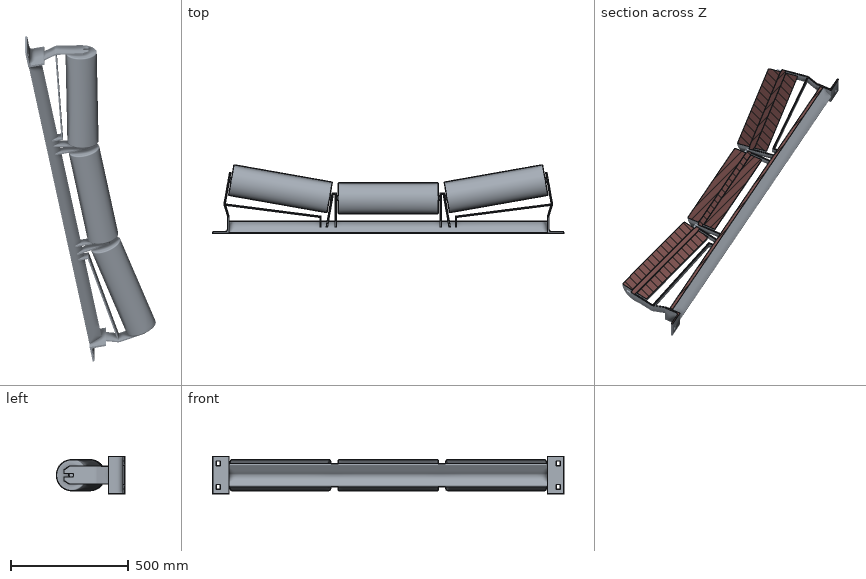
import cadquery as cq
import math


ANGLE_LEG = 70.0
ANGLE_THICKNESS = 8.0
ANGLE_ROOT_RADIUS = 9.0
ANGLE_TOE_RADIUS = 5.0

OVERALL_LENGTH = 1500.0
FOOT_HEIGHT = 160.0
HOLE_SIZE_X = 16.0
HOLE_SIZE_Z = 20.0
HOLE_INSET = 24.0
HOLE_SPACING = 100.0

BEAM_APEX_Y = 52.0

ROLLER_DIAMETER = 134.0
ROLLER_LENGTH = 428.0
ROLLER_EDGE_RADIUS = 5.0
MIDDLE_AXIS_Y = 150.0
SIDE_CENTRE_X = -460.0
SIDE_CENTRE_Y = 190.0
TROUGH_ANGLE = 10.0
SHAFT_DIAMETER = 21.0
SHAFT_FLATS = 16.0

STRIP_THICKNESS = 6.0
STRIP_GAP = 6.8
NARROW_WIDTH = 51.0
INNER_TOP_Y = 172.0
ARM_WIDTH = 76.0
ARM_REACH = 32.0
ARM_KNEE_TOP_Y = 129.0
ARM_KNEE_BOTTOM_Y = 122.0
ARM_CORNER_LENGTH = 24.0
ARM_CORNER_WIDTH = 15.0
BRACE_OUTER_Y = 123.0
BRACE_BEND_X = -290.0
BRACE_BEND_Y = 70.0

FOOT_HEEL_X = -OVERALL_LENGTH / 2 + ANGLE_LEG
BEAM_LENGTH = -2 * FOOT_HEEL_X
STRIP_OFFSET = ROLLER_LENGTH / 2 + STRIP_GAP + STRIP_THICKNESS / 2
SHAFT_LENGTH = 2 * STRIP_OFFSET + STRIP_THICKNESS
STRIP_END_Y = BEAM_APEX_Y - NARROW_WIDTH / 2
TILT = math.radians(TROUGH_ANGLE)


def from_side_centre(along, above=0.0):
    """Point at a distance outward along the left roller axis, and above it."""
    x = SIDE_CENTRE_X - along * math.cos(TILT) + above * math.sin(TILT)
    y = SIDE_CENTRE_Y + along * math.sin(TILT) + above * math.cos(TILT)
    return (x, y)


def beside_side_roller(along, y):
    """Point at height y on the line square to the left roller axis."""
    above = (y - SIDE_CENTRE_Y - along * math.sin(TILT)) / math.cos(TILT)
    return from_side_centre(along, above)


def angle_section(plane):
    """Equal-leg angle with its heel at the origin and legs along the plane's axes."""
    leg, thick = ANGLE_LEG, ANGLE_THICKNESS
    root, toe = ANGLE_ROOT_RADIUS, ANGLE_TOE_RADIUS
    return (
        cq.Workplane(plane)
        .lineTo(leg, 0)
        .lineTo(leg, thick - toe)
        .radiusArc((leg - toe, thick), -toe)
        .lineTo(thick + root, thick)
        .radiusArc((thick, thick + root), root)
        .lineTo(thick, leg - toe)
        .radiusArc((thick - toe, leg), -toe)
        .lineTo(0, leg)
        .close()
    )


def bent_strip(middle_line, width):
    """Flat strip bent along a line in the XY plane, with mitred bends."""
    half = STRIP_THICKNESS / 2
    normals = []
    for (x0, y0), (x1, y1) in zip(middle_line, middle_line[1:]):
        length = math.hypot(x1 - x0, y1 - y0)
        normals.append(((y0 - y1) / length, (x1 - x0) / length))
    one_side, other_side = [], []
    for (x, y), before, after in zip(middle_line, normals[:1] + normals, normals + normals[-1:]):
        share = half / (1 + before[0] * after[0] + before[1] * after[1])
        dx = (before[0] + after[0]) * share
        dy = (before[1] + after[1]) * share
        one_side.append((x + dx, y + dy))
        other_side.append((x - dx, y - dy))
    outline = one_side + other_side[::-1]
    return cq.Workplane("XY").polyline(outline).close().extrude(width / 2, both=True)


def placed_at_side(body):
    """Move a body from the X axis at the origin onto the left roller axis."""
    return body.rotate((0, 0, 0), (0, 0, 1), -TROUGH_ANGLE).translate((SIDE_CENTRE_X, SIDE_CENTRE_Y, 0))


def placed_at_middle(body):
    """Raise a body from the X axis onto the middle roller axis."""
    return body.translate((0, MIDDLE_AXIS_Y, 0))


def mirrored(body):
    return body.mirror("YZ")


def three_places(body):
    """Copies of a body on the left, middle and right roller axes."""
    side = placed_at_side(body)
    return [side, placed_at_middle(body), mirrored(side)]


def roller():
    left_end = cq.Workplane("YZ", origin=(-ROLLER_LENGTH / 2, 0, 0))
    shell = left_end.circle(ROLLER_DIAMETER / 2).extrude(ROLLER_LENGTH)
    shell = shell.edges("%CIRCLE").fillet(ROLLER_EDGE_RADIUS)
    bore = left_end.circle(SHAFT_DIAMETER / 2).extrude(ROLLER_LENGTH)
    return shell.cut(bore)


def shaft():
    rod = cq.Workplane("YZ").circle(SHAFT_DIAMETER / 2).extrude(SHAFT_LENGTH / 2, both=True)
    flat_length = (SHAFT_LENGTH - ROLLER_LENGTH) / 2
    for side in (-1, 1):
        end_x = side * (SHAFT_LENGTH - flat_length) / 2
        end_zone = cq.Workplane("XY").box(flat_length, SHAFT_DIAMETER, SHAFT_DIAMETER)
        between_flats = cq.Workplane("XY").box(flat_length, SHAFT_DIAMETER, SHAFT_FLATS)
        rod = rod.cut(end_zone.cut(between_flats).translate((end_x, 0, 0)))
    return rod


def shaft_slot(end):
    """Cutter for the open slot at one end (-1 or +1) of a shaft, rounded to the shaft below."""
    cut_length = 2 * STRIP_THICKNESS
    open_part = (
        cq.Workplane("XY")
        .box(cut_length, ROLLER_DIAMETER / 2, SHAFT_FLATS, centered=(True, False, True))
        .translate((end * STRIP_OFFSET, 0, 0))
    )
    return open_part.union(shaft())


def left_foot():
    foot = (
        angle_section(cq.Plane((FOOT_HEEL_X, 0, 0), xDir=(-1, 0, 0), normal=(0, 0, -1)))
        .extrude(FOOT_HEIGHT / 2, both=True)
    )
    hole_x = -OVERALL_LENGTH / 2 + HOLE_INSET
    for side in (-1, 1):
        hole = cq.Workplane("XY").box(HOLE_SIZE_X, ANGLE_LEG, HOLE_SIZE_Z)
        foot = foot.cut(hole.translate((hole_x, 0, side * HOLE_SPACING / 2)))
    return foot


def beam():
    diagonal = cq.Plane((0, BEAM_APEX_Y, 0), xDir=(0, -1, 1), normal=(1, 0, 0))
    return angle_section(diagonal).extrude(BEAM_LENGTH / 2, both=True)


def beam_hollow():
    """Everything below the outer faces of the V-shaped beam."""
    return (
        cq.Workplane("YZ")
        .moveTo(BEAM_APEX_Y, 0)
        .lineTo(0, BEAM_APEX_Y)
        .lineTo(0, -BEAM_APEX_Y)
        .close()
        .extrude(BEAM_LENGTH / 2, both=True)
    )


def left_inner_bracket():
    """Upturned U that holds the left and middle shafts."""
    top_y = INNER_TOP_Y - STRIP_THICKNESS / 2
    line = [
        beside_side_roller(-STRIP_OFFSET, STRIP_END_Y),
        beside_side_roller(-STRIP_OFFSET, top_y),
        (-STRIP_OFFSET, top_y),
        (-STRIP_OFFSET, STRIP_END_Y),
    ]
    bracket = bent_strip(line, NARROW_WIDTH)
    bracket = bracket.cut(placed_at_side(shaft_slot(1)))
    return bracket.cut(placed_at_middle(shaft_slot(-1)))


def left_arm():
    """Outer arm, with a short upright knee between its slotted upper part and the foot."""
    foot_joint = (FOOT_HEEL_X - STRIP_THICKNESS / 2, ANGLE_LEG)
    knee_top = beside_side_roller(STRIP_OFFSET, ARM_KNEE_TOP_Y)
    line = [
        from_side_centre(STRIP_OFFSET, ARM_REACH),
        knee_top,
        (knee_top[0], ARM_KNEE_BOTTOM_Y),
        foot_joint,
    ]
    arm = bent_strip(line, ARM_WIDTH)
    corner = (
        cq.Workplane("YZ")
        .moveTo(ARM_REACH, ARM_WIDTH / 2)
        .lineTo(ARM_REACH, ARM_WIDTH / 2 - ARM_CORNER_WIDTH)
        .lineTo(ARM_REACH - ARM_CORNER_LENGTH, ARM_WIDTH / 2)
        .close()
        .extrude(SHAFT_LENGTH, both=True)
    )
    for corner_cut in (corner, corner.mirror("XY")):
        arm = arm.cut(placed_at_side(corner_cut))
    return arm.cut(placed_at_side(shaft_slot(-1)))


def left_brace():
    line = [
        beside_side_roller(STRIP_OFFSET, BRACE_OUTER_Y),
        (BRACE_BEND_X, BRACE_BEND_Y),
        (BRACE_BEND_X, STRIP_END_Y),
    ]
    return bent_strip(line, NARROW_WIDTH)


def frame():
    strips = left_inner_bracket().union(left_brace()).union(left_arm())
    strips = strips.cut(beam_hollow()).cut(left_foot())
    return beam().union(strips).union(mirrored(strips))


feet = [left_foot(), mirrored(left_foot())]
rollers = three_places(roller())
shafts = three_places(shaft())
bodies = [frame(), *feet, *rollers, *shafts]
result = cq.Compound.makeCompound([body.solids().val() for body in bodies])